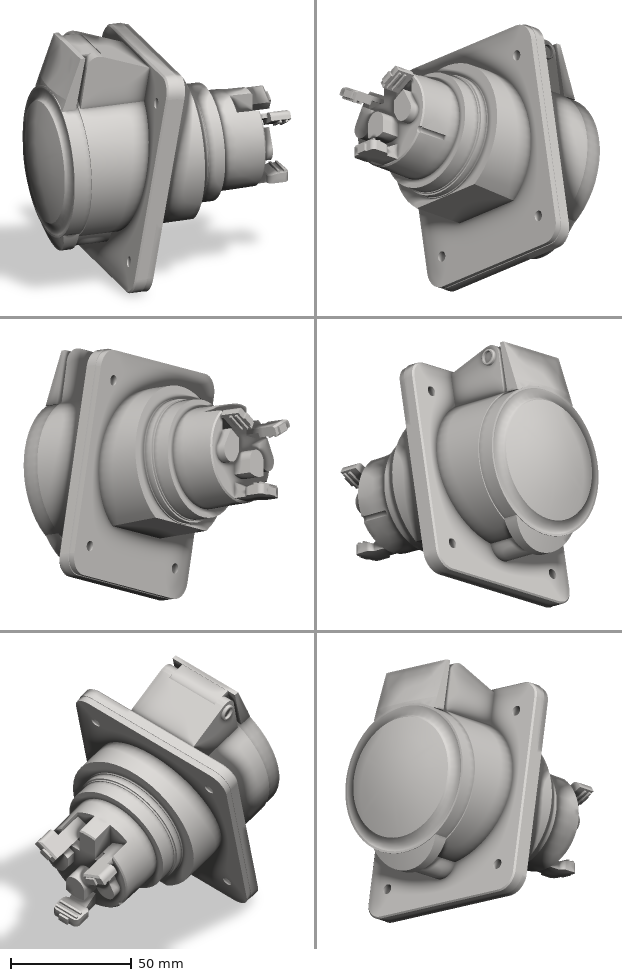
import cadquery as cq
import math


barrel_radius = 32.5
rear_radius = 32.0
rear_end = 50.3
collar_radius = 26.4
collar_end = 51.0
ring_radius = 26.0
ring_end = 53.9
relief_radius = 25.3
relief_end = 54.7
neck_radius = 24.9
neck_end = 61.8
carrier_front_radius = 21.3
carrier_back_radius = 20.9
carrier_end = 81.4
carrier_chamfer = 0.6
rear_flat_drop = 26.55
rear_flat_slope = 1.8

flange_tilt = 10.0
flange_width = 80.0
flange_height = 95.6
gasket_width = 79.7
gasket_height = 95.0
flange_corner = 8.0
flange_edge_chamfer = 0.7
gasket_thickness = 2.75
flange_thickness = 8.0
flange_back_y = 32.0
flange_bottom_z = -50.0
hole_diameter = 4.4
hole_pitch_x = 60.0
hole_pitch_v = 70.0

hinge_width = 33.0
hinge_top_z = 50.32
pin_y = 8.8
pin_z = 45.0
ear_radius = hinge_top_z - pin_z
knuckle_radius = 5.15
knuckle_clearance = 0.3
knuckle_left = -12.7
knuckle_right = 11.3
knuckle_front_top_y = 1.8
knuckle_front_foot_y = -0.6
knuckle_floor_z = 34.2
ear_slope = 20.0
ear_foot_y = 0.8
ear_foot_z = 27.8
pin_radius = 2.5
pin_head_radius = 3.5
pin_head_height = 1.4
pin_bore_radius = 2.6
pin_head_fillet = 0.4
pin_seat = 1.0

lid_radius = 32.0
lid_thickness = 7.4
groove_outer_radius = 31.1
groove_cross_radius = 28.0
dome_radius = 25.8
dome_start = 9.6
dome_tip = 13.8
wedge_break_z = 32.9
wedge_top_back_y = 2.9
wedge_top_front_y = 0.8
wedge_foot_back_y = -1.4
wedge_crease_side_y = -5.6
wedge_edge_bow = 0.02

nose_radius = 18.0
nose_bottom_z = -38.95
nose_center_z = nose_bottom_z + nose_radius
nose_front_y = -4.2
nose_bevel_y = -7.1
boss_radius = 6.2
boss_center_z = -32.15

slot_start_y = 71.2
slot_inner_x = 4.0
slot_outer_x = 13.2
slot_floor_z = 8.0
clamp_tilt = 28.0
clamp_thickness = 4.0
clamp_stem_thickness = 2.0
clamp_corner_x = 6.9
clamp_corner_z = 11.2
clamp_width = 10.9
clamp_stem_width = 6.8
clamp_foot_offset = 1.7
clamp_foot_y = 78.0
clamp_head_y = 84.6
clamp_end_y = 93.4
clamp_edge_radius = 2.4
clamp_end_chamfer = 0.8
tab_length = 1.0
upper_tab_start = 2.0
upper_tab_width = 5.0
upper_tab_drop = 1.0
upper_rib_margin = 1.0
upper_rib_distances = (1.6, 4.5)

lower_end_y = 96.8
lower_head_y = 87.5
lower_head_width = 13.1
lower_head_corner = 2.2
lower_arm_width = 9.0
lower_bottom_z = -19.8
lower_head_top_z = -15.6
lower_waist_z = -16.5
lower_dip_end_y = 91.8
lower_waist_start_y = 88.2
lower_waist_end_y = 89.6
lower_root_z = -13.0
lower_tab_width = 4.6
rib_length = 11.2
rib_size = 1.0
rib_places = (95.3, 92.5)

post_radius = 4.7
post_root = 2.0
lower_post_center_z = -4.2
lower_post_end_y = 89.6
lower_post_clip = 10.9
upper_post_center = (12.8, -1.4)
upper_post_end_y = 85.6
upper_post_inner_x = 7.0
upper_post_length = 8.2
upper_post_turn = 30.0

key_center_z = -10.45
key_height = 2.3
key_start_y = 66.8
key_mouth_height = 3.0
key_mouth_length = 1.6

tilt = math.radians(flange_tilt)


def box(x0, x1, y0, y1, z0, z1):
    return cq.Workplane("XY").box(x1 - x0, y1 - y0, z1 - z0, centered=False).translate((x0, y0, z0))


def rod(x, z, radius, y0, y1):
    """Cylinder along Y."""
    return cq.Workplane(cq.Solid.makeCylinder(radius, y1 - y0, cq.Vector(x, y0, z), cq.Vector(0, 1, 0)))


def cross_rod(y, z, radius, x0, x1):
    """Cylinder along X."""
    return cq.Workplane(cq.Solid.makeCylinder(radius, x1 - x0, cq.Vector(x0, y, z), cq.Vector(1, 0, 0)))


def side_prism(points, width):
    """Prism of a (Y, Z) outline, centred on X = 0."""
    return cq.Workplane("YZ").polyline(points).close().extrude(width / 2, both=True)



def flange_plane(depth):
    """Plane parallel to the flange, `depth` in front of its back face, at the flange centre."""
    back_z = flange_bottom_z + gasket_height / 2 * math.cos(tilt)
    back_y = flange_back_y + back_z * math.tan(tilt)
    origin = (0, back_y - depth * math.cos(tilt), back_z + depth * math.sin(tilt))
    return cq.Plane(origin, xDir=(1, 0, 0), normal=(0, -math.cos(tilt), math.sin(tilt)))


def flange_sheet(depth, thickness, width, height):
    """Round-cornered sheet parallel to the flange."""
    plane = flange_plane(depth)
    sheet = cq.Workplane(plane).rect(width, height).extrude(thickness)
    return sheet.edges(cq.selectors.ParallelDirSelector(plane.zDir)).fillet(flange_corner)


def make_flange():
    """Tilted flange: a squared back sheet and a thicker front plate, drilled at four corners."""
    gasket = flange_sheet(0, gasket_thickness, gasket_width, gasket_height)
    holes = cq.Workplane(flange_plane(0)).rect(hole_pitch_x, hole_pitch_v, forConstruction=True)
    gasket = gasket.cut(holes.vertices().circle(hole_diameter / 2).extrude(gasket_thickness))

    plate_thickness = flange_thickness - gasket_thickness
    sweep = plate_thickness / math.cos(tilt)
    facing = flange_plane(0).zDir
    sheet = flange_sheet(gasket_thickness, plate_thickness, flange_width, flange_height)
    outline = sheet.faces(cq.selectors.DirectionMinMaxSelector(facing, False)).val()
    plate = cq.Workplane(cq.Solid.extrudeLinear(outline, cq.Vector(0, -sweep, 0)))
    front = cq.selectors.DirectionMinMaxSelector(facing, True)
    plate = plate.faces(front).edges().chamfer(flange_edge_chamfer)
    seam = flange_plane(gasket_thickness).origin
    for x in (-hole_pitch_x / 2, hole_pitch_x / 2):
        for v in (-hole_pitch_v / 2, hole_pitch_v / 2):
            z = seam.z + v * math.cos(tilt)
            y = seam.y + v * math.sin(tilt)
            plate = plate.cut(rod(x, z, hole_diameter / 2, y - 2 * sweep, y + sweep))
    return gasket.union(plate)


def behind_flange():
    """Everything on the +Y side of the flange's seam plane."""
    reach = 2 * flange_height
    return cq.Workplane(flange_plane(gasket_thickness)).rect(reach, reach).extrude(-reach)



def make_barrel():
    """Front barrel with a small boss under it, ending on the flange."""
    barrel = rod(0, 0, barrel_radius, 0, rear_end)
    boss = rod(0, boss_center_z, boss_radius, 0, flange_back_y)
    return barrel.union(boss).cut(behind_flange())


def make_rear():
    """Stepped rear body, flattened underneath."""
    profile = [
        (0, 0),
        (rear_radius, 0),
        (rear_radius, rear_end),
        (collar_radius, rear_end),
        (collar_radius, collar_end),
        (ring_radius, collar_end),
        (ring_radius, ring_end),
        (relief_radius, ring_end),
        (relief_radius, relief_end),
        (neck_radius, relief_end),
        (neck_radius, neck_end),
        (0, neck_end),
    ]
    rear = cq.Workplane("XY").polyline(profile).close().revolve(360, (0, 0), (0, 1))
    low_z = -rear_flat_drop - rear_end * math.tan(math.radians(rear_flat_slope))
    below = [(0, low_z), (rear_end, -rear_flat_drop), (rear_end, -2 * rear_radius), (0, -2 * rear_radius)]
    rear = rear.cut(side_prism(below, 2 * rear_radius))
    return rear.intersect(behind_flange())


def make_carrier():
    """Tapered terminal carrier with two upper slots and a round keyway on the -X side."""
    profile = [
        (0, neck_end),
        (carrier_front_radius, neck_end),
        (carrier_back_radius, carrier_end),
        (0, carrier_end),
    ]
    carrier = cq.Workplane("XY").polyline(profile).close().revolve(360, (0, 0), (0, 1))
    carrier = carrier.faces(">Y").edges().chamfer(carrier_chamfer)
    for inner, outer in ((-slot_outer_x, -slot_inner_x), (slot_inner_x, slot_outer_x)):
        carrier = carrier.cut(box(inner, outer, slot_start_y, carrier_end, slot_floor_z, neck_radius))
    key_x = -math.sqrt(carrier_back_radius ** 2 - key_center_z ** 2)
    for height, start in ((key_height, key_start_y), (key_mouth_height, carrier_end - key_mouth_length)):
        carrier = carrier.cut(rod(key_x, key_center_z, height / 2, start, carrier_end))
    return carrier



def arched_post(end_y, length):
    """Post along Y with a round top end and a leg running down from it."""
    start_y = carrier_end - post_root
    leg = box(-post_radius, post_radius, start_y, end_y, -length, 0)
    return rod(0, 0, post_radius, start_y, end_y).union(leg)


def lower_post():
    post = arched_post(lower_post_end_y, lower_post_clip).translate((0, 0, lower_post_center_z))
    return post.intersect(rod(0, 0, lower_post_clip, 0, lower_post_end_y))


def upper_post():
    """Post on the +X side, turned over so that its leg climbs toward the axis."""
    x, z = upper_post_center
    post = arched_post(upper_post_end_y, upper_post_length)
    post = post.rotate((0, 0, 0), (0, 1, 0), 180 - upper_post_turn).translate((x, 0, z))
    outer_half = box(upper_post_inner_x, rear_radius, 0, upper_post_end_y, -rear_radius, rear_radius)
    return post.intersect(outer_half)


def upper_terminal():
    """Tilted L-shaped clamp standing in the +X slot: a thin stem and a thick ribbed head."""
    stem = (
        cq.Workplane("XY").moveTo(-clamp_foot_offset, slot_start_y - post_root)
        .lineTo(clamp_stem_width, slot_start_y - post_root).lineTo(clamp_stem_width, clamp_head_y)
        .lineTo(0, clamp_head_y).lineTo(0, clamp_foot_y).lineTo(-clamp_foot_offset, clamp_foot_y).close()
        .extrude(-clamp_stem_thickness)
    )
    head = box(0, clamp_width, clamp_head_y, clamp_end_y, -clamp_thickness, 0)
    head = head.edges(">Y and >Z").chamfer(clamp_end_chamfer)
    head = head.edges(">X and >Z").fillet(clamp_edge_radius)
    clamp = stem.union(head)
    for distance in upper_rib_distances:
        y = clamp_end_y - distance
        clamp = clamp.union(box(upper_rib_margin, clamp_width - upper_rib_margin, y - rib_size / 2,
                                y + rib_size / 2, -clamp_thickness - rib_size, -clamp_thickness / 2))
    tab_outer = upper_tab_start + upper_tab_width
    tab_end_y = clamp_end_y + tab_length
    tab = box(upper_tab_start, tab_outer, clamp_head_y, tab_end_y, -clamp_thickness, -upper_tab_drop)
    clamp = clamp.union(tab)
    clamp = clamp.rotate((0, 0, 0), (0, 1, 0), -clamp_tilt)
    return clamp.translate((clamp_corner_x, 0, clamp_corner_z))


def lower_terminal():
    """Level clamp under the axis: a sloped arm, a rounded head with two ribs and an end tab."""
    root_y = carrier_end - post_root
    arm = side_prism([
        (root_y, lower_bottom_z),
        (root_y, lower_root_z),
        (carrier_end, lower_root_z),
        (lower_waist_start_y, lower_waist_z),
        (lower_waist_end_y, lower_waist_z),
        (lower_waist_end_y, lower_bottom_z),
    ], lower_arm_width)
    half = lower_head_width / 2
    head = box(-half, half, lower_head_y, lower_end_y, lower_bottom_z, lower_head_top_z)
    head = head.edges("|Z").fillet(lower_head_corner)
    dip = side_prism([
        (lower_head_y, lower_head_top_z),
        (lower_head_y, lower_waist_z),
        (lower_dip_end_y, lower_head_top_z),
    ], lower_head_width)
    terminal = arm.union(head.cut(dip))
    for y in rib_places:
        terminal = terminal.union(box(-rib_length / 2, rib_length / 2, y - rib_size / 2, y + rib_size / 2,
                                      lower_waist_z, lower_head_top_z + rib_size))
    tab_half = lower_tab_width / 2
    tab = box(-tab_half, tab_half, lower_head_y, lower_end_y + tab_length, lower_bottom_z, lower_waist_z)
    return terminal.union(tab)



def make_hinge_ears():
    """Hinge block rounded over the pin axis, with a gap for the lid's knuckle."""
    slope = math.radians(ear_slope)
    tangent_y = pin_y + ear_radius * math.sin(slope)
    tangent_z = pin_z + ear_radius * math.cos(slope)
    back_y = flange_back_y + barrel_radius * math.tan(tilt)
    back_z = tangent_z - (back_y - tangent_y) * math.tan(slope)
    block = (
        cq.Workplane("YZ").moveTo(ear_foot_y, 0).lineTo(ear_foot_y, ear_foot_z)
        .lineTo(pin_y - ear_radius, pin_z)
        .threePointArc((pin_y - ear_radius / math.sqrt(2), pin_z + ear_radius / math.sqrt(2)),
                       (pin_y, hinge_top_z))
        .lineTo(tangent_y, tangent_z).lineTo(back_y, back_z).lineTo(back_y, 0).close()
        .extrude(hinge_width / 2, both=True)
    )
    gap_radius = knuckle_radius + knuckle_clearance
    gap_floor = knuckle_floor_z - knuckle_clearance
    gap = cross_rod(pin_y, pin_z, gap_radius, knuckle_left, knuckle_right)
    gap = gap.union(box(knuckle_left, knuckle_right, 0, pin_y, gap_floor, hinge_top_z))
    return block.cut(gap).cut(behind_flange())


def make_pin():
    """Fixed hinge pin across the gap, with a hollow rivet head on the -X ear."""
    left = -hinge_width / 2
    pin = cross_rod(pin_y, pin_z, pin_radius, knuckle_left - pin_seat, knuckle_right + pin_seat)
    head = cross_rod(pin_y, pin_z, pin_head_radius, left - pin_head_height, left)
    head = head.faces("<X").edges().fillet(pin_head_fillet)
    head = head.cut(cross_rod(pin_y, pin_z, pin_bore_radius, left - pin_head_height, left))
    return pin.union(head)


def make_housing():
    housing = make_barrel().union(make_flange()).union(make_rear()).union(make_carrier())
    housing = housing.union(lower_post()).union(lower_terminal())
    for half in (upper_post(), upper_terminal()):
        housing = housing.union(half).union(half.mirror("YZ"))
    return housing.union(make_hinge_ears()).union(make_pin())



def make_lid_disc():
    """Turned disc with a ring groove around a shallow dome."""
    profile = (
        cq.Workplane("XY").moveTo(0, 0).lineTo(lid_radius, 0).lineTo(lid_radius, -lid_thickness)
        .lineTo(groove_outer_radius, -lid_thickness)
        .threePointArc((groove_cross_radius, -lid_thickness), (dome_radius, -dome_start))
    )
    sphere = (dome_radius ** 2 + (dome_tip - dome_start) ** 2) / (2 * (dome_tip - dome_start))
    half_r = dome_radius / 2
    half_y = -dome_tip + sphere - math.sqrt(sphere ** 2 - half_r ** 2)
    profile = profile.threePointArc((half_r, half_y), (0, -dome_tip)).close()
    return profile.revolve(360, (0, 0), (0, 1))


def wedge_section(z, back_y, side_y, middle_y):
    """Level section of the hinge wedge; its front edge bows from the sides to the middle."""
    half = hinge_width / 2
    return (
        cq.Workplane("XY", origin=(0, 0, z)).moveTo(-half, back_y).lineTo(-half, side_y)
        .threePointArc((0, middle_y), (half, side_y)).lineTo(half, back_y).close().wires().val()
    )


def make_lid_wedge():
    """Hinge leaf of the lid: sloped above the crease, upright below it."""
    slope = (wedge_top_back_y - wedge_foot_back_y) / (hinge_top_z - ear_foot_z)
    crease_back_y = wedge_foot_back_y + slope * (wedge_break_z - ear_foot_z)
    top = wedge_section(hinge_top_z, wedge_top_back_y, wedge_top_front_y, wedge_top_front_y - wedge_edge_bow)
    crease = wedge_section(wedge_break_z, crease_back_y, wedge_crease_side_y, -lid_thickness)
    foot = wedge_section(ear_foot_z, wedge_foot_back_y, -lid_thickness, -lid_thickness - wedge_edge_bow)
    upper = cq.Workplane(cq.Solid.makeLoft([crease, top], True))
    lower = cq.Workplane(cq.Solid.makeLoft([foot, crease], True))
    return upper.union(lower)


def make_lid_knuckle():
    """Bored barrel around the pin and the web that joins it to the wedge."""
    knuckle = cross_rod(pin_y, pin_z, knuckle_radius, knuckle_left, knuckle_right)
    web_top_z = pin_z + knuckle_radius
    outline = [
        (pin_y, web_top_z),
        (knuckle_front_top_y, web_top_z),
        (knuckle_front_foot_y, knuckle_floor_z),
        (pin_y, knuckle_floor_z),
    ]
    web = cq.Workplane("YZ", origin=(knuckle_left, 0, 0)).polyline(outline).close()
    web = web.extrude(knuckle_right - knuckle_left)
    return knuckle.union(web).cut(cross_rod(pin_y, pin_z, pin_radius, knuckle_left, knuckle_right))


def make_lid_nose():
    """Round nose under the rim, bevelled by a cone about the socket axis."""
    nose = rod(0, nose_center_z, nose_radius, -lid_thickness, 0)
    bevel = [
        (0, 0),
        (-nose_bottom_z, 0),
        (-nose_bottom_z, nose_front_y),
        (lid_radius, nose_bevel_y),
        (0, nose_bevel_y),
    ]
    cone = cq.Workplane("XY").polyline(bevel).close().revolve(360, (0, 0), (0, 1))
    return nose.intersect(cone)


def make_lid():
    """The disc with its outer parts, which start inside the rim so the front groove stays open."""
    outside = make_lid_wedge().union(make_lid_nose())
    outside = outside.cut(rod(0, 0, (lid_radius + groove_outer_radius) / 2, -2 * lid_thickness, pin_y))
    return make_lid_disc().union(outside).union(make_lid_knuckle())


housing = make_housing()
lid = make_lid()

result = cq.Compound.makeCompound([*housing.vals(), *lid.vals()])